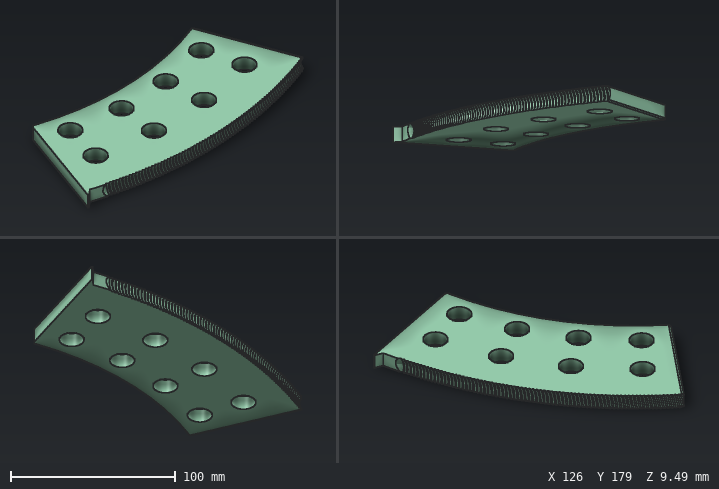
import cadquery as cq
import math

thickness = 9.49
inner_radius = 204.25
rim_radius = 278.8
sector_angle = 40.08
corner_radius = 3.0

spur_radius = 283.51
spur_tip_width = 0.6
spur_slope = 32.0

hole_diameter = 15.0
hole_row_radii = (220.0, 250.0)
hole_count = 4
hole_spacing = 10.0

chamfer_height = 0.7
inner_chamfer_width = 0.6
end_chamfer_width = 1.5

teeth_per_turn = 745
tooth_pitch = 360.0 / teeth_per_turn
tooth_tip_radius = 278.55
tooth_depth = 0.8
tooth_slant = 1.65
throat_depth = 1.6
throat_steps = 4
slant_angle = math.degrees(tooth_slant / tooth_tip_radius)
first_tooth_angle = 2.97
tooth_count = math.ceil((sector_angle - first_tooth_angle) / tooth_pitch) + 1

overlap = 5.0


def polar(radius, angle):
    """Point at a radius and an angle in degrees about the ring axis."""
    return (radius * math.cos(math.radians(angle)), radius * math.sin(math.radians(angle)))


def make_blank():
    """Flat ring sector with the spur on its rim."""
    spur_rise = spur_tip_width + (spur_radius - rim_radius) * math.tan(math.radians(spur_slope))
    spur_root_angle = math.degrees(math.asin(spur_rise / rim_radius))
    return (
        cq.Workplane("XY")
        .moveTo(inner_radius, 0)
        .lineTo(spur_radius, 0)
        .lineTo(spur_radius, spur_tip_width)
        .lineTo(*polar(rim_radius, spur_root_angle))
        .threePointArc(
            polar(rim_radius, (spur_root_angle + sector_angle) / 2),
            polar(rim_radius, sector_angle),
        )
        .lineTo(*polar(inner_radius, sector_angle))
        .threePointArc(polar(inner_radius, sector_angle / 2), (inner_radius, 0))
        .close()
        .extrude(thickness)
    )


def chamfer_triangles(edge, width):
    """Triangles in the XZ plane on the bottom and top edges of a wall at x = edge."""
    profile = cq.Workplane("XZ")
    for face_z, inward in ((0, 1), (thickness, -1)):
        profile = (
            profile.moveTo(edge, face_z)
            .lineTo(edge + width, face_z)
            .lineTo(edge, face_z + inward * chamfer_height)
            .close()
        )
    return profile


def inner_chamfers():
    """Rings of material removed along the concave wall."""
    return chamfer_triangles(inner_radius, inner_chamfer_width).revolve(360, (0, 0), (0, 1))


def end_chamfers():
    """Strips of material removed along the far end wall."""
    strips = chamfer_triangles(0, end_chamfer_width).extrude(-spur_radius)
    return strips.rotate((0, 0, 0), (0, 0, 1), sector_angle - 90)


def corner_trim(at_start):
    """Sharp corner left over outside the rounding between the concave wall and an end wall."""
    centre_radius = inner_radius + corner_radius
    inset = math.degrees(math.asin(corner_radius / centre_radius))
    end_angle = 0 if at_start else sector_angle
    centre_angle = inset if at_start else sector_angle - inset
    centre = polar(centre_radius, centre_angle)
    end_tangent = polar(centre_radius * math.cos(math.radians(inset)), end_angle)
    wall_tangent = polar(inner_radius, centre_angle)
    corner = polar(inner_radius, end_angle)
    outside = polar(inner_radius - overlap, end_angle + (-inset if at_start else inset))
    outline = [centre, end_tangent, corner, outside, wall_tangent]
    wedge = cq.Workplane("XY").polyline(outline).close().extrude(thickness)
    rounding = cq.Workplane("XY").center(*centre).circle(corner_radius).extrude(thickness)
    return wedge.cut(rounding)


def tooth_section(height_fraction):
    """Outline of the space outside the teeth, at a fraction of the thickness."""
    tip_radius = tooth_tip_radius - throat_depth * (1 - (2 * height_fraction - 1) ** 2)
    first_tip = first_tooth_angle + slant_angle * (1 - height_fraction)
    last_tip = first_tip + tooth_count * tooth_pitch
    flank_start = first_tip - tooth_pitch / 2 * overlap / tooth_depth
    clear_radius = (rim_radius + overlap) / math.cos(math.radians((last_tip - flank_start) / 2))

    points = [polar(clear_radius, flank_start), polar(tip_radius + overlap, flank_start)]
    for tooth in range(tooth_count):
        root_angle = first_tip + (tooth + 0.5) * tooth_pitch
        points.append(polar(tip_radius - tooth_depth, root_angle))
        points.append(polar(tip_radius, root_angle + tooth_pitch / 2))
    points.append(polar(clear_radius, last_tip))
    z = height_fraction * thickness
    return cq.Wire.makePolygon([cq.Vector(x, y, z) for x, y in points], close=True)


def tooth_cutter():
    """Ruled solid through evenly spaced sections, following the slant and the throat."""
    sections = [tooth_section(step / throat_steps) for step in range(throat_steps + 1)]
    return cq.Workplane(cq.Solid.makeLoft(sections, True))


def hole_tools():
    """Cylinders for both rows of through holes."""
    centres = [
        polar(radius, (index + 0.5) * hole_spacing)
        for radius in hole_row_radii
        for index in range(hole_count)
    ]
    return cq.Workplane("XY").pushPoints(centres).circle(hole_diameter / 2).extrude(thickness)


result = (
    make_blank()
    .cut(inner_chamfers())
    .cut(end_chamfers())
    .cut(corner_trim(True))
    .cut(corner_trim(False))
    .cut(hole_tools())
    .cut(tooth_cutter())
)